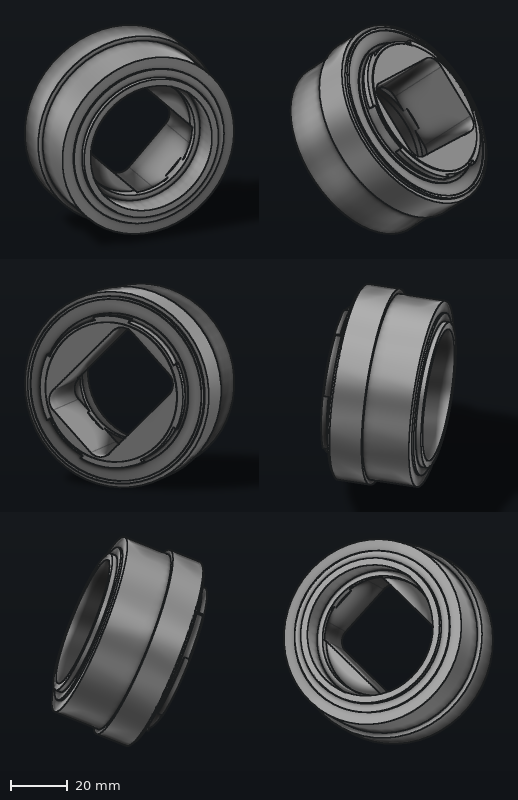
import cadquery as cq
import math

lug_front = 0.5
lug_back = 2.5
flange_front = 4.5
grip_front = 5.5
grip_back = 17.1
barrel_back = 33.9
shoulder_back = 34.6
total_length = 36.5

lip_diameter = 50.0
neck_diameter = 52.0
lug_diameter = 54.4
flange_diameter = 67.0
grip_diameter = 70.0
barrel_diameter = 66.5
shoulder_diameter = 58.0

recess_diameter = 65.0
collar_diameter = 55.0
recess_depth = 0.5

window_length = 42.2
window_width = 30.1
window_corner_radius = 5.0
window_tilt = 45.0
window_depth = 24.0

bore_diameter = 43.0
bore_front = 22.2
rear_bore_diameter = 47.0
rear_bore_front = 26.25

wide_lug_half_angle = 25.8
narrow_lug_half_angle = 14.9
lug_end_lean = 15.0
lugs = [
    (0, wide_lug_half_angle),
    (90, narrow_lug_half_angle),
    (180, wide_lug_half_angle),
    (270, wide_lug_half_angle),
]


def disc(diameter, start, end):
    """Solid cylinder on the X axis between two stations."""
    return cq.Workplane("YZ", origin=(start, 0, 0)).circle(diameter / 2).extrude(end - start)


def ring(outer_diameter, inner_diameter, start, end):
    """Hollow cylinder on the X axis between two stations."""
    return disc(outer_diameter, start, end).cut(disc(inner_diameter, start, end))


def lug(centre_angle, half_angle):
    """Curved lug on the neck, with end faces that lean inwards from its outer corners."""
    radius = lug_diameter / 2
    corner_x = radius * math.cos(math.radians(half_angle))
    corner_y = radius * math.sin(math.radians(half_angle))
    apex_x = corner_x - corner_y / math.tan(math.radians(half_angle + lug_end_lean))
    sector = (
        cq.Workplane("YZ", origin=(lug_front, 0, 0))
        .moveTo(apex_x, 0)
        .lineTo(corner_x, -corner_y)
        .threePointArc((radius, 0), (corner_x, corner_y))
        .close()
        .extrude(lug_back - lug_front)
        .cut(disc(lip_diameter, lug_front, lug_back))
    )
    return sector.rotate((0, 0, 0), (1, 0, 0), centre_angle)


body = disc(lip_diameter, 0, total_length)
for diameter, start, end in [
    (neck_diameter, lug_front, flange_front),
    (flange_diameter, flange_front, grip_front),
    (grip_diameter, grip_front, grip_back),
    (barrel_diameter, grip_back, barrel_back),
    (shoulder_diameter, barrel_back, shoulder_back),
    (neck_diameter, shoulder_back, total_length),
]:
    body = body.union(disc(diameter, start, end))

body = body.cut(ring(recess_diameter, collar_diameter, flange_front, flange_front + recess_depth))

for centre_angle, half_angle in lugs:
    body = body.union(lug(centre_angle, half_angle))

window = (
    cq.Workplane("YZ")
    .rect(window_length, window_width)
    .extrude(window_depth)
    .edges("|X")
    .fillet(window_corner_radius)
    .rotate((0, 0, 0), (1, 0, 0), 180 - window_tilt)
)
body = body.cut(window)

body = body.cut(disc(bore_diameter, bore_front, rear_bore_front))
body = body.cut(disc(rear_bore_diameter, rear_bore_front, total_length))

result = body